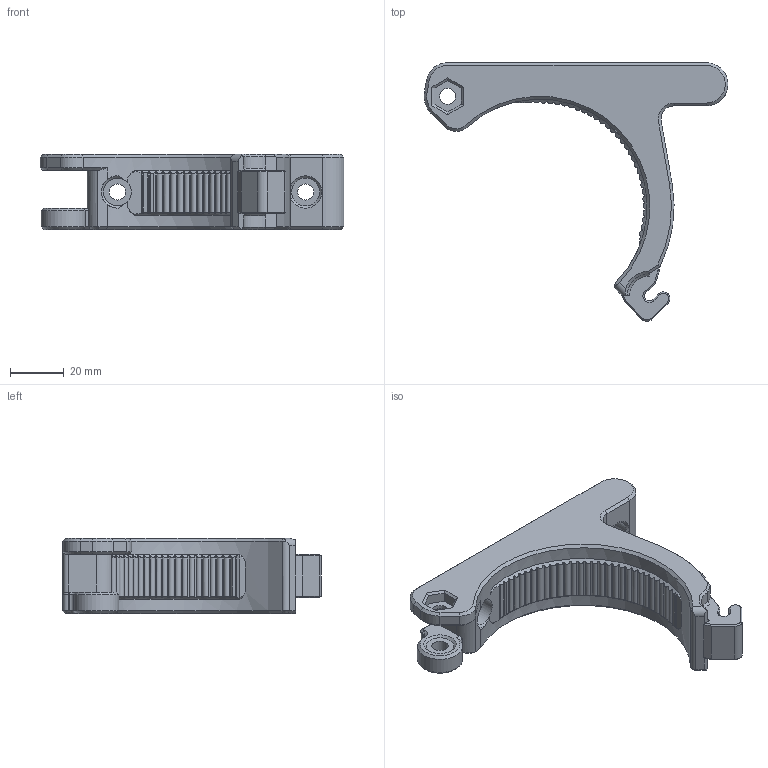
import cadquery as cq
import math

HEIGHT = 28.0
BORE_R = 40.0
ARM_OUTER_R = 50.0
REAR_Y = 53.5
EDGE_CHAMFER = 1.0

BAR_WIDTH = 16.0
BAR_END_R = BAR_WIDTH / 2
BAR_AXIS_Y = REAR_Y - BAR_END_R
BAR_FRONT_Y = REAR_Y - BAR_WIDTH
BAR_END_X = 62.04

PIVOT_X = -34.24
PIVOT_Y = 41.0
UPPER_EAR_R = 8.8
LOWER_EAR_R = 8.4
LOWER_EAR_TOP = 8.0
UPPER_EAR_BOTTOM = 22.0
EAR_EDGE_NORMAL = 225.0
EAR_TIP_FILLET = 6.0
HINGE_WALL_X = -25.5
HINGE_WALL_ROUND = 2.0
HINGE_NOSE_START_Y = 41.1
HINGE_NOSE_MID = (-24.4, 37.6)
HINGE_NOSE_END = (-21.5, 35.2)
HINGE_NOSE_BORE_ANGLE = 116.7
LOWER_EAR_NECK_X = PIVOT_X + 1.2
LOWER_EAR_NECK_Y = PIVOT_Y - 2.5
LOWER_EAR_NECK_FILLET = 1.5
PIVOT_SEAT_DEPTH = 0.8

BOLT_D = 6.0
HEAD_D = 10.4
HEAD_DEPTH = 6.5
NUT_FLATS = 10.2
NUT_DEPTH = 4.5
MOUTH_CHAMFER = 0.8
MOUTH_CLEARANCE = 4.0
MOUNT_HOLE_XS = (PIVOT_X + 20.0, PIVOT_X + 90.0)

FLANK_ANGLE = 10.0
FLANK_FILLET = 5.0
ARM_END_ANGLE = -45.0
ARM_END_OFFSET = 1.7
ARM_NOSE_R = 2.0
ARM_END_TOP_R = 2.6
ARM_END_Y = -33.1

HOOK_BOTTOM = 6.0
HOOK_TOP = 22.0
HOOK_CHAMFER = 0.5
PIN_X = 40.8
PIN_Y = -33.25
PIN_SEAT_R = 1.9
LIP_START_ANGLE = 118.0
LIP_END = (43.4, -27.4)
HOOK_ROOT = (44.7, -23.4)
HOOK_END_OFFSET = 2.75
HOOK_BACK_LENGTH = 4.6
HOOK_BLEND_LENGTH = 2.9
HOOK_ROOT_INNER_X = 38.0
FINGER_WIDTH = 4.9
FINGER_LENGTH = 5.45
HOOK_CORNER_R = 2.65
CLEARANCE_R = 8.3
CLEARANCE_CHAMFER = 0.9
RUNOUT_LENGTH = 8.0
RUNOUT_RISE = 5.4

PAD_HEIGHT = 1.5
PAD_BOTTOM = 5.3
PAD_TOP = 22.1
PAD_SLOPE_INSET = 1.2
PAD_START_ANGLE = -21.2
PAD_END_ANGLE = 105.0
PAD_CORNER_R = 5.0
PAD_END_ZONE = 15.0
PAD_END_LENGTH = 60.0
RIB_COUNT = 31
RIB_PITCH = 3.81
RIB_FIRST_ANGLE = -14.9
RIB_R = 1.2
GROOVE_FLOOR_R = 39.2

BIG = 200.0
OVERLAP = 0.5


def polar(radius, angle):
    a = math.radians(angle)
    return (radius * math.cos(a), radius * math.sin(a))


def near(x, y, z=HEIGHT / 2):
    return cq.selectors.NearestToPointSelector((x, y, z))


def arm_end_angle(radius, offset):
    """Direction at which the arm's end line, shifted clockwise by offset, meets a circle."""
    return ARM_END_ANGLE - math.degrees(math.asin(offset / radius))


def body_outline():
    """Plan outline with sharp ear tip, flank root and arm nose, extruded to full height."""
    flank = polar(ARM_OUTER_R, FLANK_ANGLE)
    root_x = flank[0] - (BAR_FRONT_Y - flank[1]) * math.tan(math.radians(FLANK_ANGLE))
    outer_end = arm_end_angle(ARM_OUTER_R, ARM_END_OFFSET)
    inner_end = arm_end_angle(BORE_R, ARM_END_OFFSET)

    edge_sum = PIVOT_X + PIVOT_Y - UPPER_EAR_R * math.sqrt(2)
    tip_angle = EAR_EDGE_NORMAL - 90.0 + math.degrees(math.asin(-edge_sum / math.sqrt(2) / BORE_R))
    tip = polar(BORE_R, tip_angle)
    edge_start = polar(UPPER_EAR_R, EAR_EDGE_NORMAL)

    tilt = 180.0 - math.degrees(math.asin((UPPER_EAR_R - BAR_END_R) / (BAR_AXIS_Y - PIVOT_Y)))
    ear_side = polar(UPPER_EAR_R, tilt)
    bar_side = polar(BAR_END_R, tilt)
    ear_mid = polar(UPPER_EAR_R, (tilt + EAR_EDGE_NORMAL) / 2)
    bar_mid = polar(BAR_END_R, (tilt + 90.0) / 2)

    solid = (
        cq.Workplane("XY")
        .moveTo(PIVOT_X, REAR_Y)
        .lineTo(BAR_END_X, REAR_Y)
        .threePointArc((BAR_END_X + BAR_END_R, BAR_AXIS_Y), (BAR_END_X, BAR_FRONT_Y))
        .lineTo(root_x, BAR_FRONT_Y)
        .lineTo(*flank)
        .threePointArc(polar(ARM_OUTER_R, (FLANK_ANGLE + outer_end) / 2), polar(ARM_OUTER_R, outer_end))
        .lineTo(*polar(BORE_R, inner_end))
        .threePointArc(polar(BORE_R, (inner_end + tip_angle) / 2), tip)
        .lineTo(PIVOT_X + edge_start[0], PIVOT_Y + edge_start[1])
        .threePointArc((PIVOT_X + ear_mid[0], PIVOT_Y + ear_mid[1]),
                       (PIVOT_X + ear_side[0], PIVOT_Y + ear_side[1]))
        .lineTo(PIVOT_X + bar_side[0], BAR_AXIS_Y + bar_side[1])
        .threePointArc((PIVOT_X + bar_mid[0], BAR_AXIS_Y + bar_mid[1]), (PIVOT_X, REAR_Y))
        .close()
        .extrude(HEIGHT)
    )
    solid = solid.edges("|Z").edges(near(root_x, BAR_FRONT_Y)).fillet(FLANK_FILLET)
    solid = solid.edges("|Z").edges(near(*tip)).fillet(EAR_TIP_FILLET)
    return solid.edges("|Z").edges(near(*polar(BORE_R, inner_end))).fillet(ARM_NOSE_R)


def hinge_gap():
    """Everything left of the hinge wall, below the upper ear."""
    nose_end = polar(BORE_R, HINGE_NOSE_BORE_ANGLE)
    return (
        cq.Workplane("XY")
        .moveTo(-BIG, BIG)
        .lineTo(HINGE_WALL_X + HINGE_WALL_ROUND, BIG)
        .lineTo(HINGE_WALL_X + HINGE_WALL_ROUND, REAR_Y)
        .radiusArc((HINGE_WALL_X, REAR_Y - HINGE_WALL_ROUND), -HINGE_WALL_ROUND)
        .lineTo(HINGE_WALL_X, HINGE_NOSE_START_Y)
        .threePointArc(HINGE_NOSE_MID, HINGE_NOSE_END)
        .lineTo(*nose_end)
        .lineTo(nose_end[0], -BIG)
        .lineTo(-BIG, -BIG)
        .close()
        .extrude(UPPER_EAR_BOTTOM)
    )


def chamfer_upper_ear(solid):
    """Chamfer the free lower edges of the upper ear, leaving those along the hinge wall."""
    underside = solid.faces(near(PIVOT_X, PIVOT_Y, UPPER_EAR_BOTTOM))
    free_edges = underside.edges().filter(
        lambda edge: edge.Center().x < HINGE_WALL_X - OVERLAP
        or edge.Center().y > REAR_Y - OVERLAP
        or edge.Center().y < HINGE_NOSE_END[1] - OVERLAP
    )
    return free_edges.chamfer(EDGE_CHAMFER)


def lower_ear():
    neck_width = HINGE_WALL_X + HINGE_WALL_ROUND + OVERLAP - LOWER_EAR_NECK_X
    neck = (
        cq.Workplane("XY")
        .rect(neck_width, REAR_Y - LOWER_EAR_NECK_Y, centered=False)
        .extrude(LOWER_EAR_TOP)
        .translate((LOWER_EAR_NECK_X, LOWER_EAR_NECK_Y, 0))
        .edges("|Z and <X and >Y")
        .fillet(HINGE_WALL_ROUND)
    )
    ear = cq.Workplane("XY").center(PIVOT_X, PIVOT_Y).circle(LOWER_EAR_R).extrude(LOWER_EAR_TOP)
    ear = ear.union(neck)
    corner_y = PIVOT_Y + math.sqrt(LOWER_EAR_R**2 - (LOWER_EAR_NECK_X - PIVOT_X) ** 2)
    corner = near(LOWER_EAR_NECK_X, corner_y, LOWER_EAR_TOP / 2)
    ear = ear.edges("|Z").edges(corner).fillet(LOWER_EAR_NECK_FILLET)
    return ear.faces(">Z").edges().chamfer(EDGE_CHAMFER)


def hook_clearance(floor_z, direction):
    """Round relief about the pin seat, from the hook's face out past the arm's face."""
    end_z = HEIGHT - HOOK_TOP
    wide = CLEARANCE_R + CLEARANCE_CHAMFER
    relief = (
        cq.Workplane("XZ")
        .polyline([
            (0, 0),
            (CLEARANCE_R - CLEARANCE_CHAMFER, 0),
            (CLEARANCE_R, CLEARANCE_CHAMFER),
            (CLEARANCE_R, end_z - CLEARANCE_CHAMFER),
            (wide, end_z),
            (wide, end_z + OVERLAP),
            (0, end_z + OVERLAP),
        ])
        .close()
        .revolve(360, (0, 0, 0), (0, 1, 0))
    )
    edge = [(0, 0), (0, CLEARANCE_R), (RUNOUT_LENGTH, CLEARANCE_R + RUNOUT_RISE), (RUNOUT_LENGTH, 0)]
    runout = cq.Workplane("XY").polyline(edge).close().extrude(end_z)
    runout_mouth = (
        cq.Workplane("XY", origin=(0, 0, end_z - CLEARANCE_CHAMFER))
        .polyline(edge)
        .close()
        .extrude(CLEARANCE_CHAMFER + OVERLAP, taper=-45)
    )
    end_trim = cq.Workplane("XY").rect(BIG, BIG).extrude(end_z + OVERLAP)
    end_trim = end_trim.translate((0, ARM_END_Y - PIN_Y - BIG / 2, 0))
    relief = relief.union(runout).union(runout_mouth).union(end_trim)
    if direction < 0:
        relief = relief.mirror("XY")
    return relief.translate((PIN_X, PIN_Y, floor_z))


def arm_end_rounding():
    """Material outside a large round along the top edge of the arm's end face."""
    size = ARM_END_TOP_R
    length = 2 * (ARM_OUTER_R - BORE_R)
    block = cq.Workplane("YZ").rect(2 * size, 2 * size).extrude(length)
    rod = cq.Workplane("YZ").center(size, -size).circle(size).extrude(length)
    cutter = block.cut(rod)
    cutter = cutter.translate((BORE_R - length / 4, -ARM_END_OFFSET, HEIGHT))
    return cutter.rotate((0, 0, 0), (0, 0, 1), ARM_END_ANGLE)


def hook():
    s = math.sqrt(0.5)

    def at(along, across):
        """Point from the pin centre: along the seat's opening, and across it towards the finger."""
        return (PIN_X + s * (along + across), PIN_Y + s * (along - across))

    arm_end = -((PIN_X + PIN_Y) * s + ARM_END_OFFSET)
    back = -((PIN_X + PIN_Y) * s + HOOK_END_OFFSET)
    outer = PIN_SEAT_R + FINGER_WIDTH
    lip_x, lip_y = polar(PIN_SEAT_R, LIP_START_ANGLE)
    lip_start = (PIN_X + lip_x, PIN_Y + lip_y)
    tip = FINGER_LENGTH - FINGER_WIDTH / 2
    profile = (
        cq.Workplane("XY")
        .moveTo(*at(arm_end, -HOOK_BACK_LENGTH - HOOK_BLEND_LENGTH))
        .lineTo(*at(back, -HOOK_BACK_LENGTH))
        .lineTo(*at(back, outer))
        .lineTo(*at(tip, outer))
        .threePointArc(at(tip + FINGER_WIDTH / 2, outer - FINGER_WIDTH / 2), at(tip, PIN_SEAT_R))
        .lineTo(*at(0, PIN_SEAT_R))
        .threePointArc(at(-PIN_SEAT_R, 0), lip_start)
        .tangentArcPoint(LIP_END, relative=False)
        .lineTo(*HOOK_ROOT)
        .lineTo(HOOK_ROOT_INNER_X, HOOK_ROOT[1])
        .close()
        .extrude(HOOK_TOP - HOOK_BOTTOM)
        .translate((0, 0, HOOK_BOTTOM))
    )
    profile = profile.edges("|Z").edges(near(*at(back, outer))).fillet(HOOK_CORNER_R)
    return profile.faces("<Z or >Z").edges().chamfer(HOOK_CHAMFER)


def sector(start, end):
    """Wedge about the Z axis, of full height."""
    mid = (start + end) / 2
    return (
        cq.Workplane("XY")
        .polyline([(0, 0), polar(BIG, start), polar(BIG, mid), polar(BIG, end)])
        .close()
        .extrude(HEIGHT)
    )


def pad_end(edge, axis_angle, side):
    """Tapered block with rounded corners that bounds one end of the pad."""
    level = BORE_R * math.cos(math.radians(edge - axis_angle))
    edge_y = BORE_R * math.sin(math.radians(edge - axis_angle))
    taper = math.degrees(math.atan2(PAD_SLOPE_INSET, PAD_HEIGHT))
    depth = BORE_R + 2 * OVERLAP - level
    grow = depth * PAD_SLOPE_INSET / PAD_HEIGHT
    mid_y = edge_y - side * (PAD_END_LENGTH / 2 - OVERLAP)
    block = (
        cq.Workplane("YZ", origin=(level + depth, mid_y, (PAD_BOTTOM + PAD_TOP) / 2))
        .sketch()
        .rect(PAD_END_LENGTH + 2 * grow, PAD_TOP - PAD_BOTTOM + 2 * grow)
        .vertices()
        .fillet(PAD_CORNER_R + grow)
        .finalize()
        .extrude(-depth, taper=taper)
    )
    return block.rotate((0, 0, 0), (0, 0, 1), axis_angle)


def grip_pad():
    base_r = BORE_R + OVERLAP
    rib_axis_r = BORE_R - PAD_HEIGHT + RIB_R
    half_width = math.sqrt(RIB_R**2 - (rib_axis_r - GROOVE_FLOOR_R) ** 2)
    half_angle = math.degrees(math.atan2(half_width, GROOVE_FLOOR_R))
    start = PAD_START_ANGLE - PAD_END_ZONE
    end = PAD_END_ANGLE + PAD_END_ZONE
    first_side = RIB_FIRST_ANGLE - half_angle
    last_side = RIB_FIRST_ANGLE + (RIB_COUNT - 1) * RIB_PITCH + half_angle
    outline = (
        cq.Workplane("XY")
        .moveTo(*polar(base_r, start))
        .lineTo(*polar(GROOVE_FLOOR_R, start))
        .threePointArc(polar(GROOVE_FLOOR_R, (start + first_side) / 2), polar(GROOVE_FLOOR_R, first_side))
    )
    for i in range(RIB_COUNT):
        angle = RIB_FIRST_ANGLE + i * RIB_PITCH
        if i > 0:
            outline = outline.lineTo(*polar(GROOVE_FLOOR_R, angle - half_angle))
        outline = outline.threePointArc(
            polar(rib_axis_r - RIB_R, angle), polar(GROOVE_FLOOR_R, angle + half_angle)
        )
    pad = (
        outline.threePointArc(polar(GROOVE_FLOOR_R, (last_side + end) / 2), polar(GROOVE_FLOOR_R, end))
        .lineTo(*polar(base_r, end))
        .threePointArc(polar(base_r, (start + end) / 2), polar(base_r, start))
        .close()
        .extrude(HEIGHT)
    )
    grow = OVERLAP * PAD_SLOPE_INSET / PAD_HEIGHT
    inner_r = BORE_R - PAD_HEIGHT
    band = (
        cq.Workplane("XZ")
        .polyline([
            (inner_r, PAD_BOTTOM + PAD_SLOPE_INSET),
            (base_r, PAD_BOTTOM - grow),
            (base_r, PAD_TOP + grow),
            (inner_r, PAD_TOP - PAD_SLOPE_INSET),
        ])
        .close()
        .revolve(360, (0, 0, 0), (0, 1, 0))
    )
    pad = pad.intersect(band)
    low = PAD_START_ANGLE + PAD_END_ZONE
    high = PAD_END_ANGLE - PAD_END_ZONE
    middle = pad.intersect(sector(low, high))
    first = pad.intersect(sector(low - 2 * PAD_END_ZONE, low)).intersect(pad_end(PAD_START_ANGLE, 0, -1))
    last = pad.intersect(sector(high, high + 2 * PAD_END_ZONE)).intersect(pad_end(PAD_END_ANGLE, 90, 1))
    return middle.union(first).union(last)


def mount_hole(x):
    """Bolt hole through the bar with a chamfered head counterbore on the front."""
    front = cq.Workplane("XZ", origin=(x, BAR_FRONT_Y, HEIGHT / 2))
    hole = front.circle(BOLT_D / 2).extrude(-2 * BAR_WIDTH)
    head = front.circle(HEAD_D / 2).extrude(-HEAD_DEPTH)
    clear = front.circle(HEAD_D / 2 + MOUTH_CHAMFER).extrude(MOUTH_CLEARANCE)
    mouth = (
        front.circle(HEAD_D / 2 + MOUTH_CHAMFER)
        .workplane(offset=-MOUTH_CHAMFER)
        .circle(HEAD_D / 2)
        .loft()
    )
    return hole.union(head).union(mouth).union(clear)


def pivot_cutter():
    """Bolt hole through both ears, nut pocket on top and a shallow seat on the lower ear."""
    axis = cq.Workplane("XY").center(PIVOT_X, PIVOT_Y)
    corner_d = NUT_FLATS / math.cos(math.radians(30))
    wide_d = (NUT_FLATS + 2 * MOUTH_CHAMFER) / math.cos(math.radians(30))
    hole = axis.circle(BOLT_D / 2).extrude(HEIGHT)
    nut = (
        axis.workplane(offset=HEIGHT - NUT_DEPTH)
        .transformed(rotate=(0, 0, 30))
        .polygon(6, corner_d)
        .extrude(NUT_DEPTH)
    )
    nut_mouth = (
        axis.workplane(offset=HEIGHT)
        .transformed(rotate=(0, 0, 30))
        .polygon(6, wide_d)
        .workplane(offset=-MOUTH_CHAMFER)
        .polygon(6, corner_d)
        .loft()
    )
    seat = (
        axis.workplane(offset=LOWER_EAR_TOP)
        .circle(HEAD_D / 2 + PIVOT_SEAT_DEPTH)
        .workplane(offset=-PIVOT_SEAT_DEPTH)
        .circle(HEAD_D / 2)
        .loft()
    )
    return hole.union(nut).union(nut_mouth).union(seat)


body = body_outline()
body = body.faces(">Z").edges().chamfer(EDGE_CHAMFER)
body = body.cut(hinge_gap())
body = chamfer_upper_ear(body)
body = body.union(lower_ear())
body = body.faces("<Z").edges().chamfer(EDGE_CHAMFER)
body = body.cut(arm_end_rounding())
body = body.cut(hook_clearance(HOOK_TOP, 1)).cut(hook_clearance(HOOK_BOTTOM, -1))
body = body.union(hook()).union(grip_pad())
for hole_x in MOUNT_HOLE_XS:
    body = body.cut(mount_hole(hole_x))
result = body.cut(pivot_cutter())